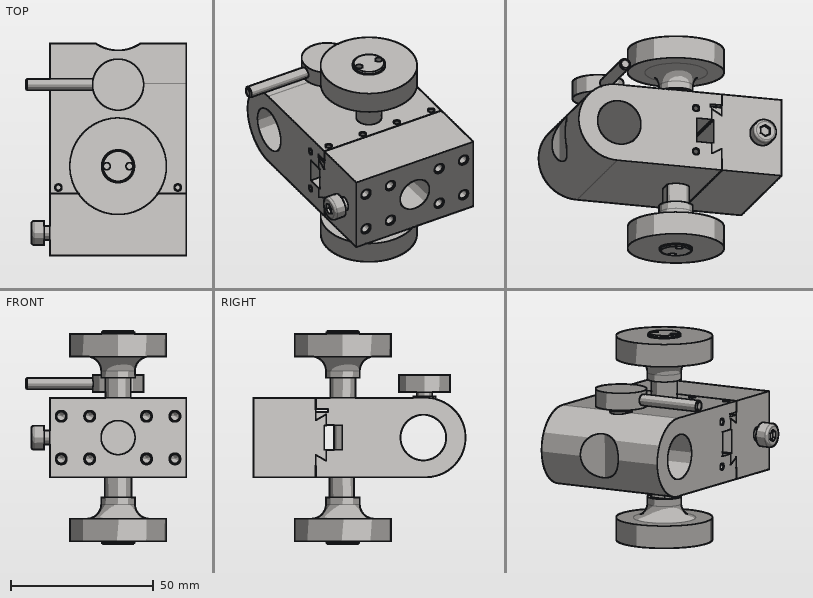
import cadquery as cq
import math


width = 48.0
height = 28.0
half_height = height / 2
joint_y = 22.0
length = 74.7
end_radius = half_height
end_center_y = length - end_radius

dovetail_depth = 3.7
dovetail_back_y = joint_y + dovetail_depth
dovetail_neck_half = 6.1
dovetail_angle = math.radians(30)
dovetail_back_half = dovetail_neck_half + dovetail_depth * math.tan(dovetail_angle)
shoulder_gap = 0.2
land_half = 10.0

bore_diameter = 16.0
bore_y = 59.8
window_back_y = 31.2
window_half = 4.35
gib_slot_top = land_half
gib_slot_thickness = 1.0
gib_slot_back_y = 26.2
notch_radius = 14.0
notch_depth = 2.4

small_hole_diameter = 2.01
small_hole_mouth = 2.5
gib_hole_y = 24.0
gib_hole_pitch = 14.0
gib_hole_count = 4
side_hole_z = 8.0
side_hole_depth = 5.0
drill_point_angle = 118.0

knob_y = 31.5
knob_diameter = 34.0
hub_diameter = 12.0
hub_base_z = 21.0
knob_inner_z = 28.5
knob_thickness = 8.0
knob_outer_z = knob_inner_z + knob_thickness
flare_radius = 5.0
cap_diameter = 11.6
cap_height = 1.0
cap_chamfer = 0.5
pin_hole_diameter = 2.5
pin_hole_offset = 4.0
pin_hole_depth = 2.0
upper_shaft_diameter = 9.0
lower_shaft_diameter = 9.5
lower_shaft_flat = 3.95
pinion_shaft_diameter = 6.3

lever_y = 60.2
lever_disc_diameter = 18.0
lever_disc_bottom = 16.0
lever_disc_top = 22.1
lever_neck_diameter = 5.5
washer_diameter = 8.0
washer_top = half_height + 0.5
washer_bottom = 13.0
rod_diameter = 4.0
rod_z = 19.0
rod_tip_x = -32.5
rod_chamfer = 0.5

rack_groove_half = 4.2
rack_groove_floor_y = 25.0
front_bore_diameter = 12.0
front_bore_depth = 16.0
mount_hole_diameter = 3.24
mount_hole_mouth = 4.0
mount_hole_depth = 8.0
mount_hole_xs = (-20.0, -10.0, 10.0, 20.0)
mount_hole_z = 7.5

screw_y = 8.0
screw_shank_diameter = 5.0
screw_head_diameter = 8.5
screw_head_base_x = -26.0
screw_head_height = 4.5
screw_head_fillet = 0.9
screw_hex_corner_diameter = 4.1
screw_hex_depth = 1.2


def bar(y_min, y_max, z_min, z_max):
    """Rectangular bar over the full width of the part."""
    return cq.Workplane("XY").box(width, y_max - y_min, z_max - z_min).translate(
        (0, (y_min + y_max) / 2, (z_min + z_max) / 2)
    )


def rod(start, direction, diameter, span):
    """Cylinder from a start point along a direction."""
    solid = cq.Solid.makeCylinder(diameter / 2, span, cq.Vector(*start), cq.Vector(*direction))
    return cq.Workplane(solid)


def drilled_hole(start, direction, diameter, mouth, depth, pointed=True):
    """Cutter for a hole with a 45 degree countersink and a pointed or flat bottom."""
    radius = diameter / 2
    mouth_radius = mouth / 2
    point_depth = radius / math.tan(math.radians(drill_point_angle / 2))
    end_depth = depth + point_depth if pointed else depth
    profile = (
        cq.Workplane("XZ")
        .polyline([
            (0, 0),
            (mouth_radius, 0),
            (radius, mouth_radius - radius),
            (radius, depth),
            (0, end_depth),
        ])
        .close()
    )
    cutter = profile.revolve(360, (0, 0, 0), (0, 1, 0)).val()
    return cutter.moved(cq.Plane(start, normal=direction).location)


def dovetail_bar():
    """Dovetail that widens from the joint face to its back face."""
    return (
        cq.Workplane("YZ")
        .polyline([
            (joint_y, -dovetail_neck_half),
            (dovetail_back_y, -dovetail_back_half),
            (dovetail_back_y, dovetail_back_half),
            (joint_y, dovetail_neck_half),
        ])
        .close()
        .extrude(width / 2, both=True)
    )


def housing_block():
    """Block with a round rear end, its openings and its screw holes."""
    block = (
        cq.Workplane("YZ")
        .moveTo(joint_y, -half_height)
        .lineTo(end_center_y, -half_height)
        .threePointArc((length, 0), (end_center_y, half_height))
        .lineTo(joint_y, half_height)
        .close()
        .extrude(width / 2, both=True)
    )
    block = block.cut(dovetail_bar())
    block = block.cut(bar(joint_y, window_back_y, -window_half, window_half))
    block = block.cut(bar(joint_y, gib_slot_back_y, gib_slot_top - gib_slot_thickness, gib_slot_top))
    block = block.cut(rod((-width / 2, bore_y, 0), (1, 0, 0), bore_diameter, width))

    notch_y = length - notch_depth + notch_radius
    block = block.cut(rod((0, notch_y, -half_height), (0, 0, 1), 2 * notch_radius, height))

    for index in range(gib_hole_count):
        x = (index - (gib_hole_count - 1) / 2) * gib_hole_pitch
        block = block.cut(drilled_hole(
            (x, gib_hole_y, half_height), (0, 0, -1),
            small_hole_diameter, small_hole_mouth, half_height - gib_slot_top, pointed=False,
        ))

    for z in (-side_hole_z, side_hole_z):
        block = block.cut(drilled_hole(
            (-width / 2, knob_y, z), (1, 0, 0),
            small_hole_diameter, small_hole_mouth, side_hole_depth, pointed=False,
        ))
    return block


def upper_knob():
    """Knob with a flared hub and a chamfered cap that has two pin holes."""
    hub_radius = hub_diameter / 2
    flare_start_z = knob_inner_z - flare_radius
    flare_center_r = hub_radius + flare_radius
    flare_step = flare_radius * math.sqrt(0.5)
    flare_middle = (flare_center_r - flare_step, flare_start_z + flare_step)
    cap_radius = cap_diameter / 2
    cap_top_z = knob_outer_z + cap_height
    knob = (
        cq.Workplane("XZ")
        .moveTo(0, hub_base_z)
        .lineTo(hub_radius, hub_base_z)
        .lineTo(hub_radius, flare_start_z)
        .threePointArc(flare_middle, (flare_center_r, knob_inner_z))
        .lineTo(knob_diameter / 2, knob_inner_z)
        .lineTo(knob_diameter / 2, knob_outer_z)
        .lineTo(cap_radius, knob_outer_z)
        .lineTo(cap_radius, cap_top_z - cap_chamfer)
        .lineTo(cap_radius - cap_chamfer, cap_top_z)
        .lineTo(0, cap_top_z)
        .close()
        .revolve(360, (0, 0, 0), (0, 1, 0))
    )
    for x in (-pin_hole_offset, pin_hole_offset):
        knob = knob.cut(rod((x, 0, cap_top_z), (0, 0, -1), pin_hole_diameter, pin_hole_depth))
    return knob.translate((0, knob_y, 0))


def lower_shaft():
    """Shaft of the lower knob with a flat on its rear side."""
    span = hub_base_z - half_height
    shaft = rod((0, knob_y, -half_height), (0, 0, -1), lower_shaft_diameter, span)
    flat_y = knob_y + lower_shaft_flat
    return shaft.cut(bar(flat_y, flat_y + lower_shaft_diameter, -hub_base_z, -half_height))


def clamp_lever():
    """Washer, neck, disc and the rod that sticks out to the -X side."""
    washer = rod((0, lever_y, washer_bottom), (0, 0, 1), washer_diameter, washer_top - washer_bottom)
    neck = rod((0, lever_y, washer_top), (0, 0, 1), lever_neck_diameter, lever_disc_bottom - washer_top)
    disc = rod(
        (0, lever_y, lever_disc_bottom), (0, 0, 1),
        lever_disc_diameter, lever_disc_top - lever_disc_bottom,
    )
    handle = rod((rod_tip_x, lever_y, rod_z), (1, 0, 0), rod_diameter, -rod_tip_x)
    handle = handle.faces("<X").chamfer(rod_chamfer)
    return washer.union(neck).union(disc).union(handle)


def make_housing():
    """Rear body: block, both knobs with their shafts, and the clamp lever."""
    knob = upper_knob()
    upper_shaft = rod((0, knob_y, half_height), (0, 0, 1), upper_shaft_diameter, hub_base_z - half_height)
    pinion_shaft = rod((0, knob_y, -window_half), (0, 0, 1), pinion_shaft_diameter, 2 * window_half)
    housing = housing_block()
    for piece in (knob, knob.mirror("XY"), upper_shaft, lower_shaft(), pinion_shaft, clamp_lever()):
        housing = housing.union(piece)
    return housing


def clamp_screw():
    """Cap screw: shank up to the block side and a rounded head with a hex socket."""
    shank = rod(
        (screw_head_base_x, screw_y, 0), (1, 0, 0),
        screw_shank_diameter, -width / 2 - screw_head_base_x,
    )
    head = rod((screw_head_base_x, screw_y, 0), (-1, 0, 0), screw_head_diameter, screw_head_height)
    head = head.faces("<X").edges().fillet(screw_head_fillet)
    socket = (
        cq.Workplane("YZ")
        .polygon(6, screw_hex_corner_diameter)
        .extrude(screw_hex_depth)
        .rotate((0, 0, 0), (1, 0, 0), 90)
        .translate((screw_head_base_x - screw_head_height, screw_y, 0))
    )
    return shank.union(head.cut(socket))


def make_slide():
    """Front body: mounting block with a dovetail, a rack groove and the clamp screw."""
    slide = bar(0, joint_y, -half_height, half_height)
    relieved_y = joint_y - shoulder_gap
    slide = slide.cut(bar(relieved_y, joint_y, land_half, half_height))
    slide = slide.cut(bar(relieved_y, joint_y, -half_height, -land_half))
    slide = slide.union(dovetail_bar())
    slide = slide.cut(bar(rack_groove_floor_y, dovetail_back_y, -rack_groove_half, rack_groove_half))
    slide = slide.cut(rod((0, 0, 0), (0, 1, 0), front_bore_diameter, front_bore_depth))
    for x in mount_hole_xs:
        for z in (-mount_hole_z, mount_hole_z):
            slide = slide.cut(drilled_hole(
                (x, 0, z), (0, 1, 0),
                mount_hole_diameter, mount_hole_mouth, mount_hole_depth,
            ))
    return slide.union(clamp_screw())


housing = make_housing()
slide = make_slide()
result = cq.Compound.makeCompound([*housing.solids().vals(), *slide.solids().vals()])